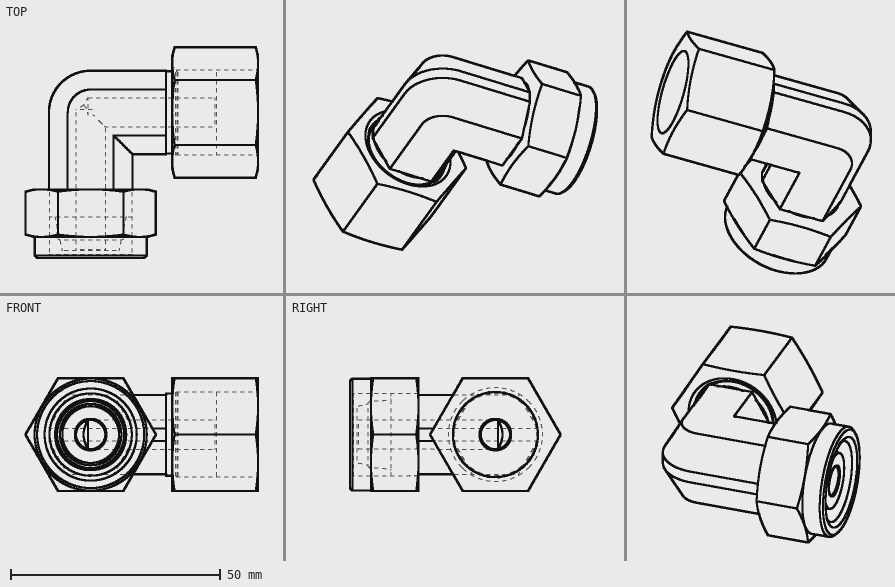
import cadquery as cq
import math


OVERALL_X = 55.6
OVERALL_Y = 50.35

LEG_HEIGHT = 19.0
LEG_WIDTH = 20.0
LEG_TOP_FLAT = 10.95
LEG_SIDE_FLAT = 2.95
X_LEG_LENGTH = 18.0

BORE_RADIUS = 3.5
BORE_OVERRUN = 0.65
DRILL_TIP_ANGLE = 120
BORE_CHAMFER = 0.3

NOSE_END = 33.0
NOSE_TIP_RADIUS = 6.8
NOSE_HALF_ANGLE = 12
BEAD_START_RADIUS = 7.35
BEAD_RADIUS = 0.65
NOSE_BASE_RADIUS = 8.5

COLLAR_RADIUS = 9.85
SPIGOT_RADIUS = 10.2
SPIGOT_START = 20.55
SPIGOT_END = 30.0

NUT_ACROSS_FLATS = 27.0
NUT_CORNER_RADIUS = NUT_ACROSS_FLATS / math.sqrt(3)
CHAMFER_CIRCLE_RADIUS = 13.45
HEX_CHAMFER_ANGLE = 15
HEX_CHAMFER_DROP = (NUT_CORNER_RADIUS - CHAMFER_CIRCLE_RADIUS) * math.tan(math.radians(HEX_CHAMFER_ANGLE))

SWIVEL_NUT_START = 18.35
SWIVEL_HEX_END = 29.75
SWIVEL_NUT_END = OVERALL_Y - NUT_CORNER_RADIUS
SKIRT_RADIUS = 13.4
SKIRT_CHAMFER = 0.6
SWIVEL_MOUTH_RADIUS = 11.0
SWIVEL_MOUTH_DEPTH = 0.9

TUBE_NUT_START = 19.45
TUBE_NUT_END = OVERALL_X - NUT_CORNER_RADIUS
TUBE_MOUTH_RADIUS = 11.25
TUBE_MOUTH_STEP_RADIUS = 10.55
TUBE_MOUTH_STEP_DEPTH = 0.4
TUBE_MOUTH_DEPTH = 0.8


def revolved(profile):
    """Turn (radius, distance) points about the Z axis."""
    return cq.Workplane("XZ").polyline(profile).close().revolve(360, (0, 0), (0, 1))


def onto_y_leg(body):
    """Lay a body built along +Z onto the -Y leg."""
    return body.rotate((0, 0, 0), (1, 0, 0), 90)


def onto_x_leg(body):
    """Lay a body built along +Z onto the +X leg."""
    return body.rotate((0, 0, 0), (0, 1, 0), 90)



def half_leg_points():
    """Half of the leg section, as (distance from axis, height)."""
    return [
        (0, LEG_HEIGHT / 2),
        (LEG_TOP_FLAT / 2, LEG_HEIGHT / 2),
        (LEG_WIDTH / 2, LEG_SIDE_FLAT / 2),
        (LEG_WIDTH / 2, -LEG_SIDE_FLAT / 2),
        (LEG_TOP_FLAT / 2, -LEG_HEIGHT / 2),
        (0, -LEG_HEIGHT / 2),
    ]


def leg_section(plane):
    half = half_leg_points()
    mirrored = [(-u, v) for u, v in reversed(half[1:-1])]
    return cq.Workplane(plane).polyline(half + mirrored).close()


def elbow_block():
    """Two legs meeting in a mitre inside and a rounded corner outside."""
    y_leg = leg_section("XZ").extrude(SWIVEL_NUT_START)
    x_leg = leg_section("YZ").extrude(X_LEG_LENGTH)
    corner = revolved(half_leg_points())
    corner_quarter = cq.Workplane("XY").box(LEG_WIDTH, LEG_WIDTH, LEG_HEIGHT).translate(
        (-LEG_WIDTH / 2, LEG_WIDTH / 2, 0)
    )
    return y_leg.union(x_leg).union(corner.intersect(corner_quarter))


def sealing_nose():
    """Collar and cone with a rounded sealing bead, along +Z."""
    cone_slope = math.tan(math.radians(NOSE_HALF_ANGLE))
    bead_crest_radius = BEAD_START_RADIUS + BEAD_RADIUS
    bead_front = NOSE_END - (BEAD_START_RADIUS - NOSE_TIP_RADIUS) / cone_slope
    bead_crest = bead_front - BEAD_RADIUS
    bead_back = NOSE_END - (bead_crest_radius - NOSE_TIP_RADIUS) / cone_slope
    shoulder = NOSE_END - (NOSE_BASE_RADIUS - NOSE_TIP_RADIUS) / cone_slope
    arc_reach = BEAD_RADIUS * math.sqrt(0.5)
    return (
        cq.Workplane("XZ")
        .moveTo(0, SWIVEL_NUT_START)
        .lineTo(COLLAR_RADIUS, SWIVEL_NUT_START)
        .lineTo(COLLAR_RADIUS, shoulder)
        .lineTo(NOSE_BASE_RADIUS, shoulder)
        .lineTo(bead_crest_radius, bead_back)
        .lineTo(bead_crest_radius, bead_crest)
        .threePointArc(
            (BEAD_START_RADIUS + arc_reach, bead_crest + arc_reach),
            (BEAD_START_RADIUS, bead_front),
        )
        .lineTo(NOSE_TIP_RADIUS, NOSE_END)
        .lineTo(0, NOSE_END)
        .close()
        .revolve(360, (0, 0), (0, 1))
    )


def threaded_spigot():
    """Narrow collar, then the wider threaded length, along +Z."""
    lead_in = SPIGOT_RADIUS - COLLAR_RADIUS
    return revolved([
        (0, X_LEG_LENGTH),
        (COLLAR_RADIUS, X_LEG_LENGTH),
        (COLLAR_RADIUS, SPIGOT_START),
        (SPIGOT_RADIUS, SPIGOT_START + lead_in),
        (SPIGOT_RADIUS, SPIGOT_END),
        (0, SPIGOT_END),
    ])


def drilled_bore(mouth):
    """Bore with a drill tip past the origin and a chamfered mouth, along +Z."""
    tip_depth = BORE_RADIUS / math.tan(math.radians(DRILL_TIP_ANGLE / 2))
    return revolved([
        (0, -BORE_OVERRUN - tip_depth),
        (BORE_RADIUS, -BORE_OVERRUN),
        (BORE_RADIUS, mouth - BORE_CHAMFER),
        (BORE_RADIUS + BORE_CHAMFER, mouth),
        (0, mouth),
    ])


def make_elbow():
    solid = elbow_block().union(onto_y_leg(sealing_nose())).union(onto_x_leg(threaded_spigot()))
    return solid.cut(onto_y_leg(drilled_bore(NOSE_END))).cut(onto_x_leg(drilled_bore(SPIGOT_END)))



def chamfered_hexagon(start, end):
    """Hexagon bar along +Z with conical chamfers on the corners at both ends."""
    bar = (
        cq.Workplane("XY", origin=(0, 0, start))
        .polygon(6, 2 * NUT_CORNER_RADIUS)
        .extrude(end - start)
    )
    envelope = revolved([
        (0, start),
        (CHAMFER_CIRCLE_RADIUS, start),
        (NUT_CORNER_RADIUS, start + HEX_CHAMFER_DROP),
        (NUT_CORNER_RADIUS, end - HEX_CHAMFER_DROP),
        (CHAMFER_CIRCLE_RADIUS, end),
        (0, end),
    ])
    return bar.intersect(envelope)


def make_swivel_nut():
    """Hexagon with a round skirt, its back against the leg and its bore close on the collar."""
    hexagon = chamfered_hexagon(SWIVEL_NUT_START, SWIVEL_HEX_END)
    skirt = revolved([
        (0, SWIVEL_NUT_START + HEX_CHAMFER_DROP),
        (SKIRT_RADIUS, SWIVEL_NUT_START + HEX_CHAMFER_DROP),
        (SKIRT_RADIUS, SWIVEL_NUT_END - SKIRT_CHAMFER),
        (SKIRT_RADIUS - SKIRT_CHAMFER, SWIVEL_NUT_END),
        (0, SWIVEL_NUT_END),
    ])
    bore = revolved([
        (0, SWIVEL_NUT_START),
        (COLLAR_RADIUS, SWIVEL_NUT_START),
        (COLLAR_RADIUS, SWIVEL_NUT_END - SWIVEL_MOUTH_DEPTH),
        (SWIVEL_MOUTH_RADIUS, SWIVEL_NUT_END),
        (0, SWIVEL_NUT_END),
    ])
    return onto_y_leg(hexagon.union(skirt).cut(bore))


def make_tube_nut():
    """Plain hexagon nut on the threaded spigot, its mouth facing the elbow."""
    hexagon = chamfered_hexagon(TUBE_NUT_START, TUBE_NUT_END)
    bore = revolved([
        (0, TUBE_NUT_START),
        (TUBE_MOUTH_RADIUS, TUBE_NUT_START),
        (TUBE_MOUTH_STEP_RADIUS, TUBE_NUT_START + TUBE_MOUTH_STEP_DEPTH),
        (SPIGOT_RADIUS, TUBE_NUT_START + TUBE_MOUTH_DEPTH),
        (SPIGOT_RADIUS, TUBE_NUT_END),
        (0, TUBE_NUT_END),
    ])
    turned = hexagon.cut(bore).rotate((0, 0, 0), (0, 0, 1), 90)
    return onto_x_leg(turned)


elbow = make_elbow()
swivel_nut = make_swivel_nut()
tube_nut = make_tube_nut()

result = cq.Compound.makeCompound([elbow.val(), swivel_nut.val(), tube_nut.val()])